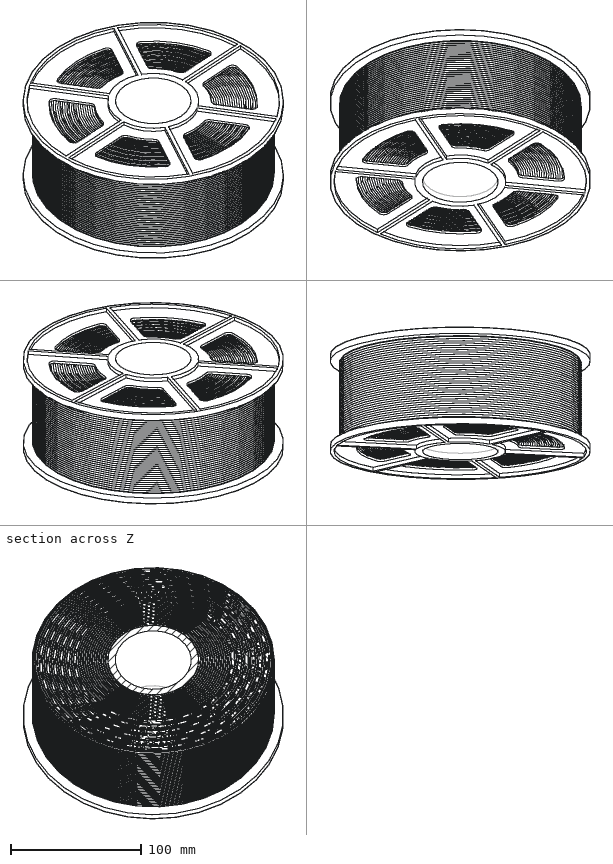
import cadquery as cq
import math

spool_height = 76.0
flange_radius = 100.0
flange_thickness = 5.0
bore_radius = 29.0
core_radius = 35.0
spoke_count = 6
spoke_width = 3.0
rim_inner_radius = 97.0
recess_depth = 3.0

window_inner_radius = 45.0
window_outer_radius = 80.0
window_spoke_offset = 10.0
window_corner_radius = 4.0

side_valley_radius = 92.2
turns_length = 64.8
turns_along_axis = 37
layer_count = 33

half_height = spool_height / 2
flange_inner_face = half_height - flange_thickness
flange_gap = 2 * flange_inner_face
recess_floor = half_height - recess_depth
spoke_step = 360 / spoke_count
wire_diameter = turns_length / turns_along_axis
wire_radius = wire_diameter / 2


def polar(radius, angle):
    """Point at a radius and an angle in degrees."""
    return radius * math.cos(math.radians(angle)), radius * math.sin(math.radians(angle))


def sector_prism(inner_radius, outer_radius, spoke_offset, z_bottom, z_top):
    """Prism between two arcs, with sides parallel to the spokes at each side of the +X axis."""
    half_step = spoke_step / 2

    def side_angle(radius):
        return half_step - math.degrees(math.asin(spoke_offset / radius))

    inner_angle = side_angle(inner_radius)
    outer_angle = side_angle(outer_radius)
    return (
        cq.Workplane("XY", origin=(0, 0, z_bottom))
        .moveTo(*polar(inner_radius, -inner_angle))
        .lineTo(*polar(outer_radius, -outer_angle))
        .threePointArc((outer_radius, 0), polar(outer_radius, outer_angle))
        .lineTo(*polar(inner_radius, inner_angle))
        .threePointArc((inner_radius, 0), polar(inner_radius, -inner_angle))
        .close()
        .extrude(z_top - z_bottom)
    )


def make_flange():
    """Upper flange: a disc with spoked recesses in its outer face and a window in each recess."""
    flange = (
        cq.Workplane("XY", origin=(0, 0, flange_inner_face))
        .circle(flange_radius)
        .circle(bore_radius)
        .extrude(flange_thickness)
    )
    recess = sector_prism(core_radius, rim_inner_radius, spoke_width / 2, recess_floor, half_height)
    window = sector_prism(
        window_inner_radius, window_outer_radius, window_spoke_offset, flange_inner_face, half_height
    )
    window = window.edges("|Z").fillet(window_corner_radius)
    pocket = recess.union(window)
    for index in range(spoke_count):
        flange = flange.cut(pocket.rotate((0, 0, 0), (0, 0, 1), index * spoke_step))
    return flange


def make_spool():
    """Core tube with an upper flange and its mirror image below."""
    core = (
        cq.Workplane("XY", origin=(0, 0, -flange_inner_face))
        .circle(core_radius)
        .circle(bore_radius)
        .extrude(flange_gap)
    )
    upper_flange = make_flange()
    return core.union(upper_flange).union(upper_flange.mirror("XY"))


def make_winding():
    """Wound wire as one ring on the core, with a half-round bump for each turn that shows."""
    side_crest_radius = side_valley_radius + wire_radius
    side_top = turns_length / 2
    end_valley_height = flange_inner_face - wire_radius
    last_crest_radius = core_radius + layer_count * wire_diameter - wire_radius
    shoulder_offset = side_valley_radius - last_crest_radius
    shoulder_height = end_valley_height + math.sqrt(wire_radius**2 - shoulder_offset**2)
    full_layers = range(layer_count - 1)

    profile = cq.Workplane("XZ").moveTo(core_radius, end_valley_height)
    for layer in full_layers:
        start = core_radius + layer * wire_diameter
        profile = profile.threePointArc(
            (start + wire_radius, flange_inner_face), (start + wire_diameter, end_valley_height)
        )
    profile = profile.threePointArc(
        (last_crest_radius, flange_inner_face), (side_valley_radius, shoulder_height)
    )
    profile = profile.lineTo(side_valley_radius, side_top)
    for turn in range(turns_along_axis):
        start = side_top - turn * wire_diameter
        profile = profile.threePointArc(
            (side_crest_radius, start - wire_radius), (side_valley_radius, start - wire_diameter)
        )
    profile = profile.lineTo(side_valley_radius, -shoulder_height)
    profile = profile.threePointArc(
        (last_crest_radius, -flange_inner_face), (last_crest_radius - wire_radius, -end_valley_height)
    )
    for layer in reversed(full_layers):
        start = core_radius + layer * wire_diameter
        profile = profile.threePointArc(
            (start + wire_radius, -flange_inner_face), (start, -end_valley_height)
        )
    return profile.close().revolve(360, (0, 0, 0), (0, 1, 0))


spool = make_spool()
winding = make_winding()
result = cq.Compound.makeCompound([spool.val(), winding.val()])